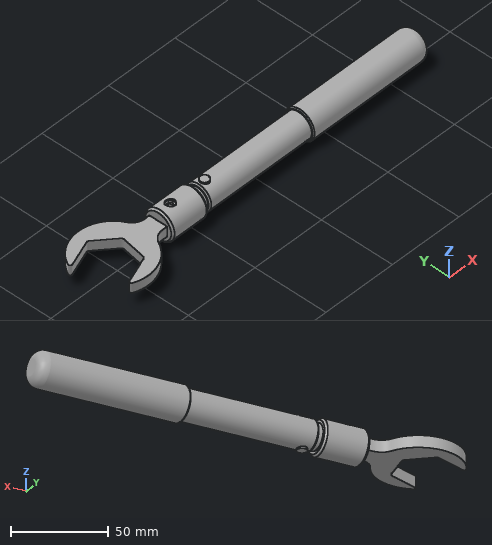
import cadquery as cq
import math

TOTAL_LENGTH = 250.6

HEAD_RADIUS = 24.8
HEAD_CENTER_X = 22.3
PLATE_THICKNESS = 7.0
NECK_WIDTH = 12.5
NECK_FILLET = 9.0

MOUTH_CENTER = (16.8, -2.0)
MOUTH_WIDTH = 31.8
MOUTH_TILT = 20.0
MOUTH_CORNER_FILLET = 1.5
JAW_TIP_FILLET = 1.3

COLLAR_START = 56.1
COLLAR_END = 82.7
COLLAR_DIAMETER = 20.8
COLLAR_RADIUS = COLLAR_DIAMETER / 2
COLLAR_CHAMFER = 1.3

SCREW_X = 65.2
SCREW_DIAMETER = 6.0
SCREW_RECESS_DEPTH = 1.3
SOCKET_DIAMETER = 3.5
SOCKET_DEPTH = 1.3

JOINT_RADIUS = 7.5
SHAFT_START = 85.5
SHAFT_RADIUS = 9.0
SHAFT_CHAMFER = 1.0

PIN_X = 91.0
PIN_DIAMETER = 6.0
PIN_LENGTH = 19.5

GRIP_START = 162.0
GRIP_RADIUS = COLLAR_RADIUS
GRIP_CHAMFER = 0.8
GRIP_END_FILLET = 5.8


def cylinder_along_x(start, end, radius):
    return cq.Workplane("YZ", origin=(start, 0, 0)).circle(radius).extrude(end - start)


def make_blank():
    """Round plate running through fillets into a straight neck that ends inside the collar."""
    disc = (
        cq.Workplane("XY")
        .center(HEAD_CENTER_X, 0)
        .circle(HEAD_RADIUS)
        .extrude(PLATE_THICKNESS / 2, both=True)
    )
    neck_end = (COLLAR_START + COLLAR_END) / 2
    neck_length = neck_end - HEAD_CENTER_X
    neck = (
        cq.Workplane("XY")
        .center(HEAD_CENTER_X + neck_length / 2, 0)
        .rect(neck_length, NECK_WIDTH)
        .extrude(PLATE_THICKNESS / 2, both=True)
    )
    inner_corners = cq.selectors.BoxSelector(
        (HEAD_CENTER_X, -HEAD_RADIUS, -PLATE_THICKNESS),
        (HEAD_CENTER_X + HEAD_RADIUS, HEAD_RADIUS, PLATE_THICKNESS),
    )
    return disc.union(neck).edges("|Z").edges(inner_corners).fillet(NECK_FILLET)


def make_mouth():
    """Tilted hexagonal mouth whose open side runs out past the jaw tips."""
    half_width = MOUTH_WIDTH / 2
    corner_x = MOUTH_WIDTH / math.sqrt(3)
    open_side_x = -2 * HEAD_RADIUS
    return (
        cq.Workplane("XY")
        .moveTo(open_side_x, half_width)
        .lineTo(corner_x / 2, half_width)
        .lineTo(corner_x, 0)
        .lineTo(corner_x / 2, -half_width)
        .lineTo(open_side_x, -half_width)
        .close()
        .extrude(PLATE_THICKNESS / 2, both=True)
        .edges("|Z and (not <X)")
        .fillet(MOUTH_CORNER_FILLET)
        .rotate((0, 0, 0), (0, 0, 1), MOUTH_TILT)
        .translate((*MOUTH_CENTER, 0))
    )


def make_head():
    head = make_blank().cut(make_mouth())
    for jaw_tip in ("|Z and <X", "|Z and <Y"):
        head = head.edges(jaw_tip).fillet(JAW_TIP_FILLET)
    return head


def make_handle():
    """Collar, joint, shaft and grip in line along X."""
    collar = (
        cylinder_along_x(COLLAR_START, COLLAR_END, COLLAR_RADIUS)
        .edges("<X or >X")
        .chamfer(COLLAR_CHAMFER)
    )
    joint = cylinder_along_x(COLLAR_END, SHAFT_START, JOINT_RADIUS)
    shaft = cylinder_along_x(SHAFT_START, GRIP_START, SHAFT_RADIUS).edges("<X").chamfer(SHAFT_CHAMFER)
    grip = (
        cylinder_along_x(GRIP_START, TOTAL_LENGTH, GRIP_RADIUS)
        .edges("<X")
        .chamfer(GRIP_CHAMFER)
        .edges(">X")
        .fillet(GRIP_END_FILLET)
    )
    return collar.union(joint).union(shaft).union(grip)


def make_pin():
    return cq.Workplane("XY").center(PIN_X, 0).circle(PIN_DIAMETER / 2).extrude(PIN_LENGTH / 2, both=True)


def make_screw_recess():
    """Round recess down to the screw's end face, with a hexagon socket below it."""
    collar_top = cq.Workplane("XY", origin=(SCREW_X, 0, COLLAR_RADIUS))
    recess = collar_top.circle(SCREW_DIAMETER / 2).extrude(-SCREW_RECESS_DEPTH)
    socket = collar_top.polygon(6, SOCKET_DIAMETER).extrude(-(SCREW_RECESS_DEPTH + SOCKET_DEPTH))
    return recess.union(socket)


result = make_head().union(make_handle()).union(make_pin()).cut(make_screw_recess())